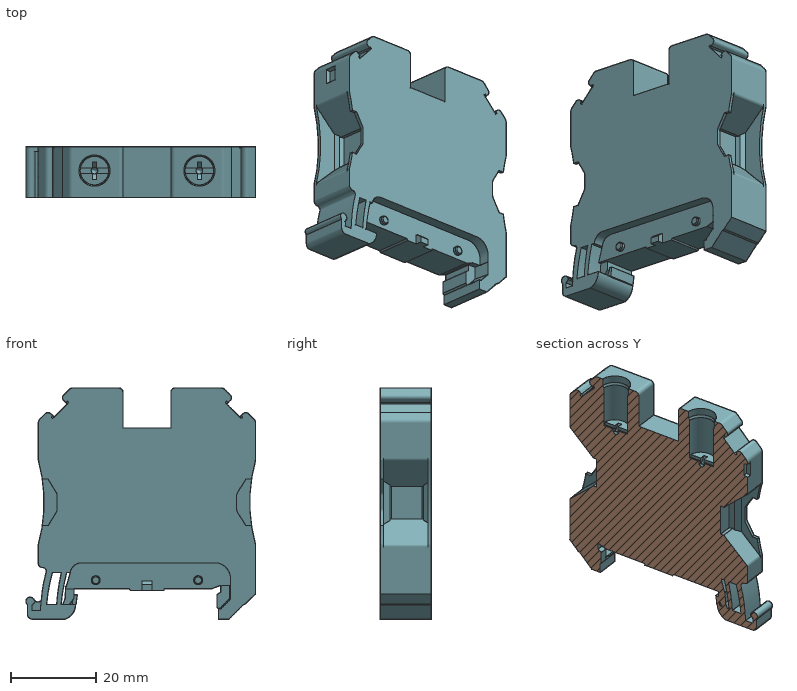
import cadquery as cq
import math


THICKNESS = 12.0
HEIGHT = 54.25
HALF_WIDTH = 25.5
FOOT_REACH = 28.4
FRONT = -THICKNESS / 2
BACK = THICKNESS / 2
COS_45 = math.cos(math.radians(45))

GAP_HALF_WIDTH = 5.6
GAP_FLOOR = 44.9
GAP_FILLET = 1.0

SHOULDER_X = 17.9
SHOULDER_FILLET = 1.2
UPPER_NOSE = (20.2, 51.95)
UPPER_NOSE_FILLET = 0.85
LOWER_NOSE = (23.19, 48.87)
LOWER_NOSE_FILLET = 0.9
SIDE_CORNER_Z = 46.56
SIDE_CORNER_FILLET = 1.4
CLIP_SLOT_LENGTH = 0.5
CLIP_SLOT_WIDTH = 0.45
CLIP_WEB = 0.4
UPPER_CLIP = (18.72, 50.48)
LOWER_CLIP = (21.76, 47.44)

WAIST_TOP = 37.3
WAIST_BOTTOM = 17.5
WAIST_Z = (WAIST_TOP + WAIST_BOTTOM) / 2
WAIST_DEPTH = 1.35

RECESS_DEPTH = 2.75
TAB_DEPTH = 3.5
RAIL_HOOK_DEPTH = 4.2
RECESS_TOP = 13.25
RECESS_LEFT = -18.0
RECESS_RIGHT = 19.6
RECESS_RADIUS = 3.7
CLAW_DRAFT = 3.4
CLAW_LIP_Z = 2.45
CLAW_SLOPE_RISE = 2.25
CLAW_POCKET_START = 10.0
CLAW_POCKET_OVERLAP = 1.0
CLAW_WALL_INSET = 0.25
PLATE_BOTTOM = 7.15
CATCH_OVERLAP = 0.5
PLATE_STEP = 0.42
PLATE_OVERLAP = 1.0
PLATE_END_BOTTOM = 7.95

FOOT_TOP = 3.5
FOOT_OUTER_X = -28.05
KNOB_RADIUS = 1.0
KNOB_Z = 4.2
KNOB_SADDLE_RISE = 0.4
LEVER_TOP = 10.95
GUTTER_FLOOR = 2.05
GUTTER_WEB = 1.15

PIN_DIAMETER = 2.1
PIN_LENGTH = 0.9
PIN_CHAMFER = 0.25
PIN_X = 12.0
PIN_Z = 9.17
KEY_WIDTH = 2.35
KEY_LENGTH = 1.55
KEY_TOP = 9.0
KEY_SLOPE = 0.85
KEY_FLAT = 0.4

SCREW_X = 12.3
SCREW_Y = 0.35
WELL_DIAMETER = 7.3
WELL_RIM_DEPTH = 1.8
WELL_BORE_DIAMETER = 6.7
WELL_CONE_DEPTH = 0.55
WELL_DEPTH = 12.0
SLOT_WIDTH = 1.25
SLOT_DEPTH = 0.8
CROSS_LENGTH = 4.05
CROSS_WIDTH = 0.9
CROSS_DEPTH = 1.6
CENTRE_DIAMETER = 1.55
CENTRE_POINT_DEPTH = 0.8

ENTRY_WALL = 0.8
ENTRY_CLEARANCE = 1.0
ENTRY_FLOOR_X = 18.7
ENTRY_END_X = 17.85
ENTRY_MOUTH_X = 25.05
ENTRY_LIP = 0.75
ENTRY_LIP_INSET = 0.1
ENTRY_TOP = 37.65
ENTRY_BOTTOM = 17.0
ENTRY_FLOOR_TOP = 31.15
ENTRY_FLOOR_BOTTOM = 23.5
NOTCH_HALF_HEIGHT = 5.45
NOTCH_FLAT_HALF_HEIGHT = 2.0
NOTCH_INNER_X = 21.05
NOTCH_SHOULDER_X = 23.2
NOTCH_FILLET = 1.5

WINDOW_WIDTH = 3.0
WINDOW_HEIGHT = 3.6
WINDOW_Z = 43.9
WINDOW_DEPTH = 1.0
WINDOW_TAPER = 15


def plate_between(sketch, y_start, y_end):
    """Extrude a closed XZ sketch from y_start to y_end."""
    return sketch.extrude(-(y_end - y_start)).translate((0, y_start, 0))


def outline(points):
    return cq.Workplane("XZ").polyline(points).close()


def mirrored_pair(left):
    return left.union(left.mirror("YZ"))


def shoulder_points():
    """Right tower from its top down to the waist; the left tower is its mirror image."""
    return [
        (SHOULDER_X, HEIGHT),
        UPPER_NOSE,
        UPPER_CLIP,
        LOWER_CLIP,
        LOWER_NOSE,
        (HALF_WIDTH, SIDE_CORNER_Z),
        (HALF_WIDTH, WAIST_TOP),
    ]


def housing():
    """Front-to-back outline: towers, waist, rail claw, recess edge, inner lever and spring foot."""
    right = shoulder_points()
    left = [(-x, z) for x, z in reversed(right)]
    waist_x = HALF_WIDTH - WAIST_DEPTH
    arc_centre_x = RECESS_RIGHT - RECESS_RADIUS
    arc_centre_z = RECESS_TOP - RECESS_RADIUS
    claw_wall_x = RECESS_RIGHT - CLAW_WALL_INSET
    diagonal = RECESS_RADIUS * COS_45
    knob_x = -FOOT_REACH + KNOB_RADIUS
    knob_drop = math.sqrt(KNOB_RADIUS ** 2 - (knob_x - FOOT_OUTER_X) ** 2)
    knob_run = math.sqrt(KNOB_RADIUS ** 2 - KNOB_SADDLE_RISE ** 2)
    sketch = (
        cq.Workplane("XZ")
        .moveTo(-GAP_HALF_WIDTH, GAP_FLOOR)
        .lineTo(GAP_HALF_WIDTH, GAP_FLOOR)
        .lineTo(GAP_HALF_WIDTH, HEIGHT - GAP_FILLET)
        .radiusArc((GAP_HALF_WIDTH + GAP_FILLET, HEIGHT), GAP_FILLET)
    )
    for point in right:
        sketch = sketch.lineTo(*point)
    sketch = (
        sketch
        .threePointArc((waist_x, WAIST_Z), (HALF_WIDTH, WAIST_BOTTOM))
        .lineTo(HALF_WIDTH, 5.95)
        .lineTo(23.1, 3.6)
        .lineTo(22.6, 3.4)
        .lineTo(19.2, 0)
        .lineTo(16.75, 0)
        .lineTo(16.75, 2.4)
        .lineTo(17.0, 2.6)
        .lineTo(claw_wall_x, 4.9)
        .lineTo(claw_wall_x, PLATE_END_BOTTOM)
        .lineTo(RECESS_RIGHT, PLATE_END_BOTTOM)
        .lineTo(RECESS_RIGHT, arc_centre_z)
        .threePointArc((arc_centre_x + diagonal, arc_centre_z + diagonal), (arc_centre_x, RECESS_TOP))
        .lineTo(-15.2, RECESS_TOP)
        .threePointArc((-17.0, 12.65), (RECESS_LEFT, LEVER_TOP))
        .lineTo(-18.8, LEVER_TOP)
        .threePointArc((-19.6, 7.2), (-20.1, FOOT_TOP))
        .lineTo(-16.7, FOOT_TOP)
        .threePointArc((-17.4, 1.35), (-19.2, 0))
        .lineTo(-27.0, 0)
        .threePointArc((-27.75, 0.4), (FOOT_OUTER_X, 1.2))
        .lineTo(FOOT_OUTER_X, KNOB_Z - knob_drop)
        .threePointArc((knob_x, KNOB_Z + KNOB_RADIUS), (knob_x + knob_run, KNOB_Z + KNOB_SADDLE_RISE))
        .threePointArc((-25.6, 4.1), (-24.8, 4.4))
        .threePointArc((-24.4, 7.8), (-23.7, 10.9))
        .threePointArc((-23.85, 11.85), (-24.6, 12.1))
        .threePointArc((-25.2, 12.4), (-HALF_WIDTH, 13.0))
        .lineTo(-HALF_WIDTH, WAIST_BOTTOM)
        .threePointArc((-waist_x, WAIST_Z), (-HALF_WIDTH, WAIST_TOP))
    )
    for point in left[1:]:
        sketch = sketch.lineTo(*point)
    sketch = (
        sketch
        .lineTo(-GAP_HALF_WIDTH - GAP_FILLET, HEIGHT)
        .radiusArc((-GAP_HALF_WIDTH, HEIGHT - GAP_FILLET), GAP_FILLET)
        .close()
    )
    return plate_between(sketch, FRONT, BACK)


def round_shoulders(body):
    """Round the outer corners of both tower shoulders and their clip noses."""
    corners = [
        ((SHOULDER_X, HEIGHT), SHOULDER_FILLET),
        (UPPER_NOSE, UPPER_NOSE_FILLET),
        (LOWER_NOSE, LOWER_NOSE_FILLET),
        ((HALF_WIDTH, SIDE_CORNER_Z), SIDE_CORNER_FILLET),
    ]
    for (x, z), radius in corners:
        for side in (-1, 1):
            body = body.edges(cq.NearestToPointSelector((side * x, 0, z))).fillet(radius)
    return body


def claw_pocket():
    """Pocket in front of the claw nose; its walls close in towards the back."""
    top = PLATE_END_BOTTOM + CLAW_POCKET_OVERLAP
    points = [
        (CLAW_POCKET_START, top),
        (RECESS_RIGHT, top),
        (RECESS_RIGHT, CLAW_LIP_Z + CLAW_SLOPE_RISE),
        (RECESS_RIGHT - CLAW_SLOPE_RISE, CLAW_LIP_Z),
        (CLAW_POCKET_START, CLAW_LIP_Z),
    ]
    sketch = cq.Workplane("XZ", origin=(0, FRONT, 0)).polyline(points).close()
    return sketch.extrude(-RAIL_HOOK_DEPTH, taper=CLAW_DRAFT)


def recessed_plate():
    """Set-back plate that fills the rail recess down to the rail seat and overlaps the housing above."""
    step_bottom = PLATE_BOTTOM - PLATE_STEP
    points = [
        (-19.1, PLATE_BOTTOM),
        (-4.2, PLATE_BOTTOM),
        (-3.9, step_bottom),
        (4.0, step_bottom),
        (4.1, PLATE_BOTTOM),
        (15.2, PLATE_BOTTOM),
        (17.1, PLATE_END_BOTTOM - 0.1),
        (RECESS_RIGHT + PLATE_OVERLAP, PLATE_END_BOTTOM),
        (RECESS_RIGHT + PLATE_OVERLAP, RECESS_TOP + PLATE_OVERLAP),
        (RECESS_LEFT, RECESS_TOP + PLATE_OVERLAP),
        (RECESS_LEFT, LEVER_TOP),
    ]
    return plate_between(outline(points), FRONT + RECESS_DEPTH, BACK)


def rail_catches():
    """Deeper-set claw nose, plate tab and foot hook that grip the rail."""
    claw_nose = [
        (17.3, 8.0),
        (17.3, 6.4),
        (16.4, 5.8),
        (16.4, 2.85),
        (16.75, 2.4),
        (18.0, 2.0),
        (20.5, 4.6),
        (20.5, 8.0),
    ]
    plate_tab = [
        (-19.1, PLATE_BOTTOM + CATCH_OVERLAP),
        (-17.05, PLATE_BOTTOM + CATCH_OVERLAP),
        (-17.05, 5.05),
        (-18.1, FOOT_TOP),
        (-19.75, FOOT_TOP),
        (-19.2, 4.9),
    ]
    foot_hook = [
        (-17.55, FOOT_TOP - CATCH_OVERLAP),
        (-17.55, 5.2),
        (-17.1, 5.8),
        (-16.3, 5.75),
        (-16.6, FOOT_TOP),
        (-16.9, FOOT_TOP - CATCH_OVERLAP),
    ]
    catches = plate_between(outline(claw_nose), FRONT + RAIL_HOOK_DEPTH, BACK)
    catches = catches.union(plate_between(outline(plate_tab), FRONT + TAB_DEPTH, BACK))
    return catches.union(plate_between(outline(foot_hook), FRONT + RAIL_HOOK_DEPTH, BACK))


def lever_slot():
    """Opening between the two spring levers."""
    sketch = (
        cq.Workplane("XZ")
        .moveTo(-22.15, LEVER_TOP)
        .lineTo(-20.1, LEVER_TOP)
        .threePointArc((-20.8, 7.2), (-21.2, FOOT_TOP))
        .lineTo(-23.5, FOOT_TOP)
        .threePointArc((-23.0, 7.2), (-22.15, LEVER_TOP))
        .close()
    )
    return plate_between(sketch, FRONT, BACK)


def foot_gutter():
    """Screwdriver gutter in the foot, closed by a web at the back."""
    points = [
        (-25.0, GUTTER_FLOOR),
        (-26.9, GUTTER_FLOOR),
        (-26.9, 3.3),
        (-26.3, 4.0),
        (-26.3, 5.0),
        (-24.8, 5.0),
        (-24.8, 4.4),
    ]
    return plate_between(outline(points), FRONT, BACK - GUTTER_WEB)


def clip_slots():
    """Undercuts at both ends of the sloped marker seats, closed by a web at the back."""
    length = CLIP_SLOT_LENGTH * COS_45
    width = CLIP_SLOT_WIDTH * COS_45
    slots = cq.Workplane("XZ")
    for (x, z), away in ((UPPER_CLIP, -1), (LOWER_CLIP, 1)):
        end_x = x + away * length
        end_z = z - away * length
        points = [(x, z), (end_x, end_z), (end_x + width, end_z + width), (x + width, z + width)]
        slots = slots.add(plate_between(outline(points), FRONT, BACK - CLIP_WEB))
    return mirrored_pair(slots.combine())


def plate_pins():
    pins = cq.Workplane("XZ").pushPoints([(-PIN_X, PIN_Z), (PIN_X, PIN_Z)]).circle(PIN_DIAMETER / 2)
    pins = pins.extrude(PIN_LENGTH).faces("<Y").chamfer(PIN_CHAMFER)
    return pins.translate((0, FRONT + RECESS_DEPTH, 0))


def plate_key():
    """Small key in the middle of the plate, with a sloped upper side."""
    plate_y = FRONT + RECESS_DEPTH
    tip_y = plate_y - KEY_LENGTH
    bottom = PLATE_BOTTOM - PLATE_STEP
    points = [(plate_y, bottom), (tip_y, bottom), (tip_y, KEY_TOP - KEY_SLOPE)]
    points += [(plate_y - KEY_FLAT, KEY_TOP), (plate_y, KEY_TOP)]
    return cq.Workplane("YZ").polyline(points).close().extrude(KEY_WIDTH / 2, both=True)


def screw_well(x):
    """Stepped well with the screw head's slot and cross recess at its floor."""
    floor = HEIGHT - WELL_DEPTH
    rim_z = HEIGHT - WELL_RIM_DEPTH
    cone_z = rim_z - WELL_CONE_DEPTH
    bore_radius = WELL_BORE_DIAMETER / 2
    rim_radius = WELL_DIAMETER / 2
    centre_radius = CENTRE_DIAMETER / 2
    centre_z = floor - CROSS_DEPTH
    half_cross = CROSS_LENGTH / 2
    well = (
        cq.Workplane("XZ")
        .polyline([
            (0, centre_z - CENTRE_POINT_DEPTH),
            (centre_radius, centre_z),
            (centre_radius, floor),
            (bore_radius, floor),
            (bore_radius, cone_z),
            (rim_radius, rim_z),
            (rim_radius, HEIGHT),
            (0, HEIGHT),
        ])
        .close()
        .revolve(360, (0, 0, 0), (0, 1, 0))
    )
    head = cq.Workplane("XY", origin=(0, 0, floor)).circle(bore_radius).extrude(-SLOT_DEPTH)
    slot_bar = cq.Workplane("XY", origin=(0, 0, floor)).box(WELL_DIAMETER, SLOT_WIDTH, 2 * SLOT_DEPTH)
    slot = head.intersect(slot_bar)
    cross = (
        cq.Workplane("YZ")
        .polyline([
            (-half_cross, floor),
            (half_cross, floor),
            (centre_radius, centre_z),
            (-centre_radius, centre_z),
        ])
        .close()
        .extrude(CROSS_WIDTH / 2, both=True)
    )
    return well.union(slot).union(cross).translate((x, SCREW_Y, 0))


def wire_entry():
    """Left wire funnel: a section sloping in Z, limited by walls that close in across Y."""
    outside = HALF_WIDTH + ENTRY_CLEARANCE
    lip_x = HALF_WIDTH - ENTRY_LIP_INSET
    section = (
        cq.Workplane("XZ")
        .moveTo(-outside, ENTRY_TOP)
        .lineTo(-HALF_WIDTH, ENTRY_TOP)
        .threePointArc((-lip_x, ENTRY_TOP - ENTRY_LIP / 2), (-ENTRY_MOUTH_X, ENTRY_TOP - ENTRY_LIP))
        .lineTo(-ENTRY_FLOOR_X, ENTRY_FLOOR_TOP)
        .lineTo(-ENTRY_END_X, ENTRY_FLOOR_TOP)
        .lineTo(-ENTRY_END_X, ENTRY_FLOOR_BOTTOM)
        .lineTo(-ENTRY_FLOOR_X, ENTRY_FLOOR_BOTTOM)
        .lineTo(-ENTRY_MOUTH_X, ENTRY_BOTTOM + ENTRY_LIP)
        .threePointArc((-lip_x, ENTRY_BOTTOM + ENTRY_LIP / 2), (-HALF_WIDTH, ENTRY_BOTTOM))
        .lineTo(-outside, ENTRY_BOTTOM)
        .close()
    )
    wall_y = BACK - ENTRY_WALL
    plan = (
        cq.Workplane("XY")
        .polyline([
            (-outside, wall_y),
            (-19.7, wall_y),
            (-18.95, 4.15),
            (-ENTRY_END_X, 3.85),
            (-ENTRY_END_X, -3.3),
            (-19.1, -3.75),
            (-20.1, -wall_y),
            (-outside, -wall_y),
        ])
        .close()
        .extrude(HEIGHT)
    )
    return plate_between(section, FRONT, BACK).intersect(plan)


def entry_notch():
    """Notch through the left funnel's front wall."""
    outside = HALF_WIDTH + ENTRY_CLEARANCE
    top = WAIST_Z + NOTCH_HALF_HEIGHT
    bottom = WAIST_Z - NOTCH_HALF_HEIGHT
    notch = outline([
        (-outside, top),
        (-NOTCH_SHOULDER_X, top),
        (-NOTCH_INNER_X, WAIST_Z + NOTCH_FLAT_HALF_HEIGHT),
        (-NOTCH_INNER_X, WAIST_Z - NOTCH_FLAT_HALF_HEIGHT),
        (-NOTCH_SHOULDER_X, bottom),
        (-outside, bottom),
    ])
    return plate_between(notch, FRONT, FRONT + ENTRY_WALL).edges(">X").edges("|Y").fillet(NOTCH_FILLET)


def test_window():
    return (
        cq.Workplane("YZ", origin=(-HALF_WIDTH, SCREW_Y, WINDOW_Z))
        .rect(WINDOW_WIDTH, WINDOW_HEIGHT)
        .extrude(WINDOW_DEPTH, taper=WINDOW_TAPER)
    )


result = round_shoulders(housing()).cut(claw_pocket())
result = result.union(recessed_plate()).union(rail_catches())
result = result.cut(lever_slot()).cut(foot_gutter()).cut(clip_slots())
result = result.union(plate_pins()).union(plate_key())
result = result.cut(screw_well(-SCREW_X)).cut(screw_well(SCREW_X))
result = result.cut(mirrored_pair(wire_entry())).cut(mirrored_pair(entry_notch()))
result = result.cut(test_window())